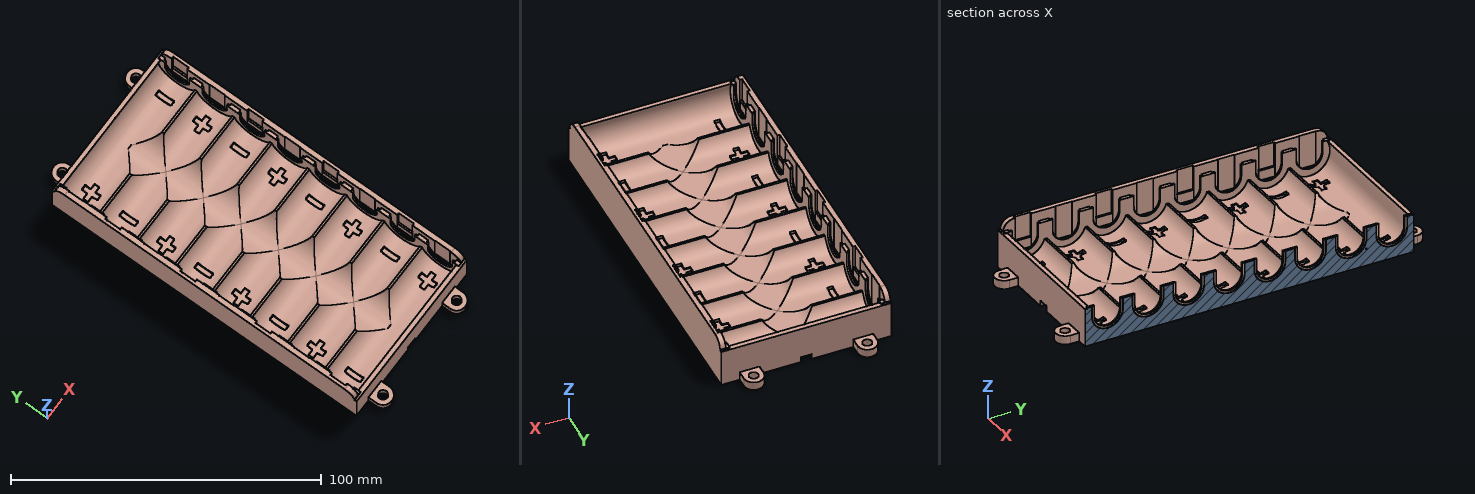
import cadquery as cq
import math


tray_width = 60.0
tray_length = 121.5
overall_length = 135.0
end_wall_height = 14.0

panel_height = 18.0
panel_thickness = 2.0
panel_setback = 0.8
panel_corner_radius = 4.0

lip_height = 14.3
lip_inner_offset = 3.4

cell_count = 8
cell_pitch = 15.0
cradle_diameter = 15.0
ridge_height = 8.0
ridge_width = 0.8

trough_half_width = 8.8
trough_end_inset = 0.7

slot_back = 2.0
slot_front = 2.7
slot_radius = 5.7
opening_radius = 4.9
relief_width = 6.1
relief_back = 1.9
spring_notch_back = 1.2
spring_notch_floor = 9.2

mark_length = 6.2
mark_width = 1.9
mark_depth = 0.4
mark_x = 20.0

lug_x = 20.0
lug_radius = 3.5
lug_height = 3.2
lug_hole_diameter = 3.2
groove_width = 3.9
groove_height = 2.0

half_width = tray_width / 2
half_length = tray_length / 2
cavity_width = tray_width - 2 * lip_inner_offset
cradle_radius = cradle_diameter / 2
cradle_half_chord = (cell_pitch - ridge_width) / 2
cradle_axis_height = ridge_height + math.sqrt(cradle_radius**2 - cradle_half_chord**2)
cradle_floor = cradle_axis_height - cradle_radius
ridge_rise = ridge_height - cradle_floor
trough_radius = (trough_half_width**2 + ridge_rise**2) / (2 * ridge_rise)
lug_y = overall_length / 2 - lug_radius
cell_centres = [(i - (cell_count - 1) / 2) * cell_pitch for i in range(cell_count)]


def block(x_range, y_range, z_range):
    """Box spanning the given (start, end) pairs, in either order."""
    spans = (x_range, y_range, z_range)
    size = [abs(end - start) for start, end in spans]
    corner = [min(span) for span in spans]
    return cq.Workplane("XY").box(*size, centered=False).translate(tuple(corner))


def round_bottomed(x_start, x_end, y, radius):
    """U-shaped cutter along X, concentric with a cradle and open upward."""
    x_low = min(x_start, x_end)
    return (
        cq.Workplane("YZ", origin=(x_low, y, cradle_axis_height))
        .moveTo(-radius, 0)
        .threePointArc((0, -radius), (radius, 0))
        .lineTo(radius, lip_height - cradle_axis_height)
        .lineTo(-radius, lip_height - cradle_axis_height)
        .close()
        .extrude(abs(x_end - x_start))
    )


def side_panel(side):
    """Side panel with rounded upper corners, plus the lower lip inside it."""
    outer = side * half_width
    panel_end = half_length - panel_setback
    panel = block((outer, side * (half_width - panel_thickness)), (-panel_end, panel_end), (0, panel_height))
    panel = panel.edges("|X and >Z").fillet(panel_corner_radius)
    lip = block((outer, side * (half_width - lip_inner_offset)), (-panel_end, panel_end), (0, lip_height))
    return panel.union(lip)


def cradle(y, top):
    """Round trough for one cell, cut off flat at the given height."""
    cylinder = (
        cq.Workplane("YZ", origin=(-cavity_width / 2, y, cradle_axis_height))
        .circle(cradle_radius)
        .extrude(cavity_width)
    )
    limits = block((-half_width, half_width), (-half_length, half_length), (0, top))
    return cylinder.intersect(limits)


def finger_trough():
    """Lengthwise cylinder touching the cradle floors, ending just inside the end cell centres."""
    trough_end = cell_centres[-1] - trough_end_inset
    return (
        cq.Workplane("XZ", origin=(0, trough_end, cradle_floor + trough_radius))
        .circle(trough_radius)
        .extrude(2 * trough_end)
    )


def contact_cut(side, y, is_spring):
    """Plate slot, lip opening and panel relief for one contact."""
    def at(offset):
        return side * (half_width - offset)

    relief_y = (y - relief_width / 2, y + relief_width / 2)
    relief_bottom = cradle_axis_height - opening_radius
    cut = round_bottomed(at(slot_back), at(slot_front), y, slot_radius)
    cut = cut.union(round_bottomed(at(slot_front), at(lip_inner_offset), y, opening_radius))
    cut = cut.union(block((at(relief_back), at(slot_front)), relief_y, (relief_bottom, panel_height)))
    if is_spring:
        notch_z = (spring_notch_floor, panel_height)
        cut = cut.union(block((at(spring_notch_back), at(slot_front)), relief_y, notch_z))
    return cut


def polarity_mark(x, y, is_plus):
    """Flat-bottomed minus bar along Y, crossed by a second bar for plus."""
    depth_range = (cradle_floor - mark_depth, ridge_height)
    half_long = mark_length / 2
    half_short = mark_width / 2
    mark = block((x - half_short, x + half_short), (y - half_long, y + half_long), depth_range)
    if is_plus:
        mark = mark.union(block((x - half_long, x + half_long), (y - half_short, y + half_short), depth_range))
    return mark


def mounting_lug(x, end):
    """Round-ended lug with a screw hole, on the end face at +Y or -Y."""
    root = block((x - lug_radius, x + lug_radius), (end * half_length, end * lug_y), (0, lug_height))
    tip = cq.Workplane("XY").center(x, end * lug_y).circle(lug_radius).extrude(lug_height)
    hole = cq.Workplane("XY").center(x, end * lug_y).circle(lug_hole_diameter / 2).extrude(lug_height)
    return root.union(tip).cut(hole)


result = block((-half_width, half_width), (-half_length, half_length), (0, end_wall_height))
for side in (-1, 1):
    result = result.union(side_panel(side))
result = result.cut(
    block(
        (-cavity_width / 2, cavity_width / 2),
        (cell_centres[0], cell_centres[-1]),
        (ridge_height, panel_height),
    )
)

for index, y in enumerate(cell_centres):
    is_end_cell = index in (0, cell_count - 1)
    result = result.cut(cradle(y, end_wall_height if is_end_cell else ridge_height))
    plus_side = 1 if index % 2 == 0 else -1
    for side in (-1, 1):
        is_plus = side == plus_side
        result = result.cut(contact_cut(side, y, not is_plus))
        result = result.cut(polarity_mark(side * mark_x, y, is_plus))

result = result.cut(finger_trough())

for end in (-1, 1):
    for side in (-1, 1):
        result = result.union(mounting_lug(side * lug_x, end))

result = result.cut(
    block((-groove_width / 2, groove_width / 2), (-half_length, half_length), (0, groove_height))
)